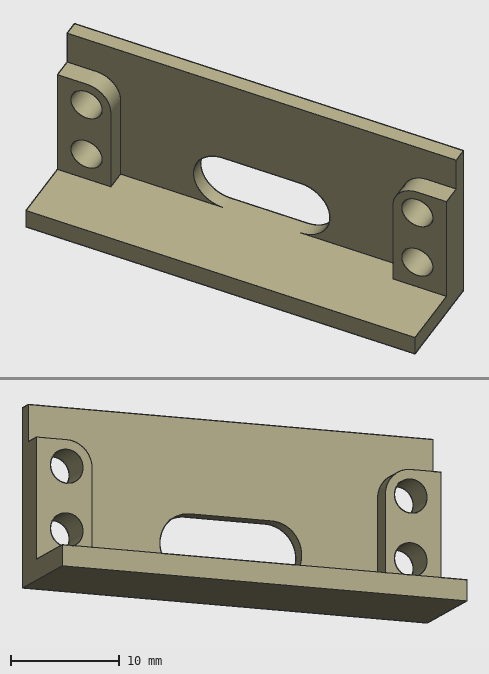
import cadquery as cq

length = 40.0
depth = 10.0
height = 17.0
base_thickness = 2.0
wall_thickness = 1.5

pad_thickness = 2.0
pad_round_diameter = 5.0
hole_diameter = 3.2
hole_end_distance = 3.0
lower_hole_z = 5.0
hole_spacing = 6.0

slot_length = 14.0
slot_height = 6.0

pad_radius = pad_round_diameter / 2
upper_hole_z = lower_hole_z + hole_spacing
pad_top_z = upper_hole_z + pad_radius
pad_width = hole_end_distance + pad_radius
wall_front_y = depth / 2 - wall_thickness
slot_z = base_thickness + slot_height / 2


def block(size_y, size_z, center_y):
    """Full-length block standing on the bottom plane."""
    return (
        cq.Workplane("XY")
        .center(0, center_y)
        .box(length, size_y, size_z, centered=(True, True, False))
    )


def end_pad(side):
    """Pad at one end (side is -1 or 1), with its inner top corner rounded."""
    pad = cq.Workplane("XY").box(pad_width, pad_thickness, pad_top_z, centered=(True, True, False))
    inner_edge = "<X" if side > 0 else ">X"
    pad = pad.faces(">Z").edges(inner_edge).fillet(pad_radius)
    return pad.translate((side * (length - pad_width) / 2, wall_front_y - pad_thickness / 2, 0))


def through_wall():
    """Vertical sketch plane on the back face; positive extrusion runs toward -Y."""
    return cq.Workplane("XZ", origin=(0, depth / 2, 0))


base = block(depth, base_thickness, 0)
wall = block(wall_thickness, height, (depth - wall_thickness) / 2)
body = base.union(wall)
for end in (-1, 1):
    body = body.union(end_pad(end))

hole_x = length / 2 - hole_end_distance
hole_places = [(x, z) for x in (-hole_x, hole_x) for z in (lower_hole_z, upper_hole_z)]
holes = through_wall().pushPoints(hole_places).circle(hole_diameter / 2).extrude(depth)
slot = through_wall().center(0, slot_z).slot2D(slot_length, slot_height).extrude(depth)

result = body.cut(holes).cut(slot)